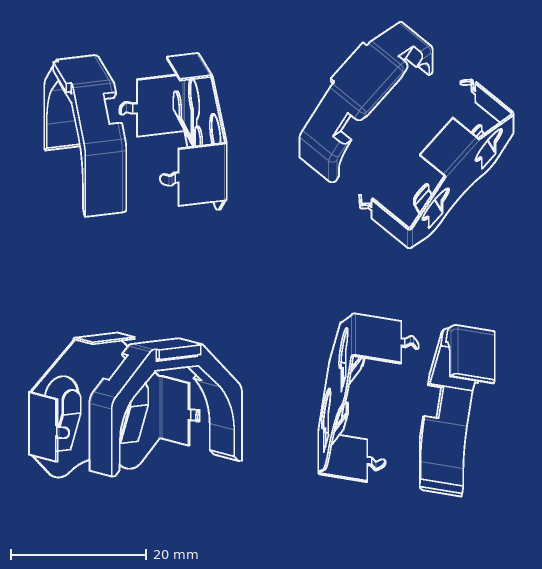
import cadquery as cq
import math


sheet = 0.3
bend_outer = 0.5
bend_inner = bend_outer - sheet
clip_half_width = 11.97
flange_bottom = 4.02
flange_top = 13.42
flange_mid = (flange_bottom + flange_top) / 2
flange_depth = 7.5

top_tab_half_width = 3.8
top_tab_top = 20.8
top_tab_depth = 5.1
scallop_radius = 7.7
scallop_top = 2.16
foot_radius = 2.67

spring_spacing = 12.07
spring_width = 3.15
spring_reach = 3.0
spring_bend_height = 9.93
spring_top = 13.52
window_diameter = 6.04
window_height = 12.15

finger_width = 1.63
finger_bend_depth = 8.05
finger_tip_depth = 10.26
finger_rise = 0.9
finger_peak_radius = 0.33
finger_tip_radius = 0.8

housing_half_width = 11.67
housing_top = 22.25
housing_bottom = 3.92
housing_back = 15.23
housing_depth = 6.5
housing_front = housing_back + housing_depth
top_flat_half_width = 4.48
shoulder_radius = 2.35
crown_radius = 0.87
back_edge_radius = 0.87

cell_radius = 10.25
cell_height = flange_mid
arch_top = 19.0
arch_flat_half_width = 3.8
arch_slope_half_width = 7.72
leg_chamfer = 0.8

lip_half_width = 3.7
lip_height = 1.45
lip_depth = 0.76
groove_half_width = 3.62
groove_top = 20.55
groove_height = 0.1
groove_depth = 0.25
notch_offset = 7.5
notch_length = 4.76
notch_depth = 2.11
notch_reach = 3.57


def box(x_range, depth_range, z_range):
    """Box between two X values, two depths measured toward -Y, and two heights."""
    width, depth, height = (end - start for start, end in (x_range, depth_range, z_range))
    corner = (x_range[0], -depth_range[1], z_range[0])
    return cq.Workplane("XY").box(width, depth, height, centered=False).translate(corner)


def slab(depth):
    """Front-facing sketch plane whose extrusions run toward -Y from the given depth."""
    return cq.Workplane("XZ", origin=(0, -depth, 0))


def mirrored(points):
    """Points of a symmetric outline, from those of its +X half listed top to bottom."""
    return points + [(-x, z) for x, z in reversed(points)]


def clip_plate():
    """Back plate with sloped shoulders, 45 degree lower sides and a scalloped foot."""
    bend_start = clip_half_width - bend_outer
    half_outline = [
        (top_tab_half_width, top_tab_top),
        (top_tab_half_width, top_tab_top - bend_outer),
        (bend_start, flange_top),
        (clip_half_width, flange_top),
        (clip_half_width, flange_bottom),
        (bend_start, flange_bottom),
        (bend_start - 2 * flange_bottom, -flange_bottom),
    ]
    plate = slab(0).polyline(mirrored(half_outline)).close().extrude(sheet)
    scallop = slab(0).center(0, scallop_top - scallop_radius).circle(scallop_radius).extrude(sheet)
    return plate.cut(scallop).edges("|Y").edges("<Z").fillet(foot_radius)


def round_edge(body, middle, radius):
    """Fillet the one edge whose middle is at the given point."""
    return body.edges(cq.NearestToPointSelector(middle)).fillet(radius)


def bent_sheet():
    """Plate with its side flanges and top tab, with rounded bends."""
    inner = clip_half_width - sheet
    sheet_metal = clip_plate()
    for x_range in ((-clip_half_width, -inner), (inner, clip_half_width)):
        sheet_metal = sheet_metal.union(box(x_range, (0, flange_depth), (flange_bottom, flange_top)))
    tab_x = (-top_tab_half_width, top_tab_half_width)
    sheet_metal = sheet_metal.union(box(tab_x, (0, top_tab_depth), (top_tab_top - sheet, top_tab_top)))

    for side in (-1, 1):
        sheet_metal = round_edge(sheet_metal, (side * inner, -sheet, flange_mid), bend_inner)
        sheet_metal = round_edge(sheet_metal, (side * clip_half_width, 0, flange_mid), bend_outer)
    sheet_metal = round_edge(sheet_metal, (0, -sheet, top_tab_top - sheet), bend_inner)
    return round_edge(sheet_metal, (0, 0, top_tab_top), bend_outer)


def spring_window(x):
    """Round window joined to the slot from which a spring contact is bent out."""
    window = slab(0).center(x, window_height).circle(window_diameter / 2).extrude(sheet)
    slot = box((x - spring_width / 2, x + spring_width / 2), (0, sheet), (flange_bottom, window_height))
    return window.union(slot)


def spring(x):
    """Spring contact: a leaf sloping forward from the plate, ending in an upright round-topped pad."""
    run = spring_reach - sheet
    rise = spring_bend_height - flange_bottom
    miter = sheet * math.tan(math.atan2(run, rise) / 2)
    profile = [
        (0, flange_bottom),
        (-sheet, flange_bottom),
        (-spring_reach, spring_bend_height),
        (-spring_reach, spring_top),
        (-run, spring_top),
        (-run, spring_bend_height + miter),
        (0, flange_bottom + miter),
    ]
    half = spring_width / 2
    leaf = cq.Workplane("YZ", origin=(x - half, 0, 0)).polyline(profile).close().extrude(spring_width)
    round_top = (
        slab(0)
        .moveTo(x - half, flange_bottom)
        .lineTo(x - half, spring_top - half)
        .threePointArc((x, spring_top), (x + half, spring_top - half))
        .lineTo(x + half, flange_bottom)
        .close()
        .extrude(spring_reach)
    )
    return leaf.intersect(round_top)


def latch_finger():
    """Finger on the +X flange: bends 45 degrees outward, then back inward, with a rounded tip."""
    miter = sheet * math.tan(math.radians(45 / 2))
    square_end = sheet / math.sqrt(2)
    peak_x = clip_half_width + finger_rise
    peak_depth = finger_bend_depth + finger_rise
    tip_x = peak_x - (finger_tip_depth - peak_depth)
    inner = clip_half_width - sheet
    inner_peak_x = peak_x - sheet * math.sqrt(2)
    profile = [
        (clip_half_width, -flange_depth),
        (clip_half_width, -finger_bend_depth),
        (peak_x, -peak_depth),
        (tip_x, -finger_tip_depth),
        (tip_x - square_end, -finger_tip_depth + square_end),
        (inner_peak_x, -peak_depth),
        (inner, -finger_bend_depth - miter),
        (inner, -flange_depth),
    ]
    half = finger_width / 2
    strip = cq.Workplane("XY", origin=(0, 0, flange_mid - half))
    strip = strip.polyline(profile).close().extrude(finger_width)
    strip = strip.edges("|Z").edges(">X").fillet(finger_peak_radius)
    strip = round_edge(strip, (inner_peak_x, -peak_depth, flange_mid), finger_peak_radius - sheet)

    return strip.faces("<Y").edges("not |Z").fillet(finger_tip_radius)


def contact_clip():
    """Bent sheet with two spring contacts and a latch finger on each flange."""
    clip = bent_sheet()
    for x in (-spring_spacing / 2, spring_spacing / 2):
        clip = clip.cut(spring_window(x)).union(spring(x))
    finger = latch_finger()
    return clip.union(finger).union(finger.mirror("YZ"))


def housing_arch():
    """Arch with 45 degree shoulders outside and a cell-sized bore inside."""
    shoulder_drop = housing_half_width - top_flat_half_width
    outer_half = [
        (top_flat_half_width, housing_top),
        (housing_half_width, housing_top - shoulder_drop),
        (housing_half_width, housing_bottom),
    ]
    block = slab(housing_back).polyline(mirrored(outer_half)).close().extrude(housing_depth)
    block = block.edges("|Y").edges("<<Z[1]").fillet(shoulder_radius)
    block = block.edges("|Y").edges(">Z").fillet(crown_radius)
    block = block.faces(">Y").edges("not <Z").fillet(back_edge_radius)
    return block.cut(arch_opening())


def arch_opening():
    """Opening between the legs: flared feet, upright sides, cell-radius arcs and a flat-topped roof."""
    arc_end = arch_slope_half_width
    arc_end_z = cell_height + math.sqrt(cell_radius**2 - arc_end**2)
    mid_angle = math.atan2(arc_end_z - cell_height, arc_end) / 2
    arc_mid_x = cell_radius * math.cos(mid_angle)
    arc_mid_z = cell_height + cell_radius * math.sin(mid_angle)
    return (
        slab(housing_back)
        .moveTo(-cell_radius - leg_chamfer, housing_bottom)
        .lineTo(-cell_radius, housing_bottom + leg_chamfer)
        .lineTo(-cell_radius, cell_height)
        .threePointArc((-arc_mid_x, arc_mid_z), (-arc_end, arc_end_z))
        .lineTo(-arch_flat_half_width, arch_top)
        .lineTo(arch_flat_half_width, arch_top)
        .lineTo(arc_end, arc_end_z)
        .threePointArc((arc_mid_x, arc_mid_z), (cell_radius, cell_height))
        .lineTo(cell_radius, housing_bottom + leg_chamfer)
        .lineTo(cell_radius + leg_chamfer, housing_bottom)
        .close()
        .extrude(housing_depth)
    )


def shoulder_notch():
    """Cutter for the notch square through the +X shoulder, open at the back."""
    shoulder_z = housing_top + top_flat_half_width - notch_offset
    half = notch_length / 2
    cutter = box((-half, half), (housing_back, housing_back + notch_depth), (-notch_reach, notch_reach))
    cutter = cutter.rotate((0, 0, 0), (0, 1, 0), 45)
    return cutter.translate((notch_offset, 0, shoulder_z))


def arched_housing():
    """Notched arch with a lip along its front top edge and a shallow groove below the lip."""
    housing = housing_arch()
    notch = shoulder_notch()
    housing = housing.cut(notch).cut(notch.mirror("YZ"))
    lip = box(
        (-lip_half_width, lip_half_width),
        (housing_front, housing_front + lip_depth),
        (housing_top - lip_height, housing_top),
    )
    groove = box(
        (-groove_half_width, groove_half_width),
        (housing_front - groove_depth, housing_front),
        (groove_top - groove_height, groove_top),
    )
    return housing.union(lip).cut(groove)


clip = contact_clip()
housing = arched_housing()
result = cq.Compound.makeCompound([clip.val(), housing.val()])